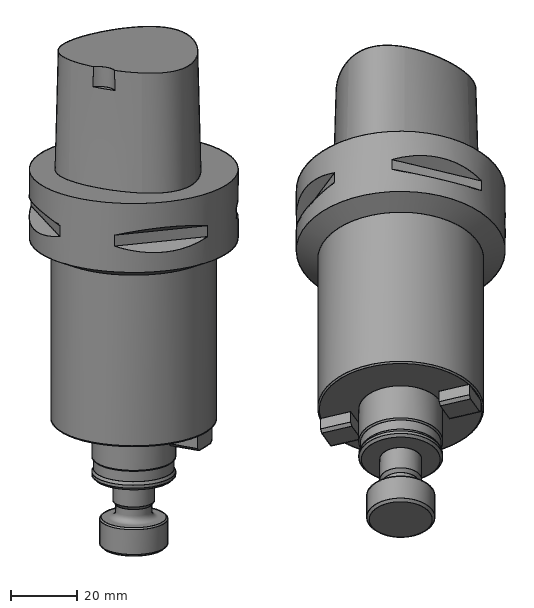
import cadquery as cq
import math

total_length = 158.2

shank_height = 38.0
shank_mean_radius = 22.0
lobe_eccentricity = 1.7
taper_ratio = 1 / 20
lobe_count = 3
curve_intervals = 12
notch_radius = 5.2
notch_floor_offset = 17.7
notch_height = 6.3

flange_diameter = 63.0
flange_bottom = -22.0
body_diameter = 50.0
body_top = -25.2
body_bottom = -80.0
body_chamfer = 0.5

slot_count = 4
slot_floor_offset = 27.8
slot_floor_height = 3.5
slot_mouth_height = 7.9
slot_center = -12.0

key_inner_x = 14.4
key_outer_x = 24.2
key_width = 9.3
key_height = 4.7
key_chamfer = 1.0

pilot_diameter = 25.3
groove_diameter = 24.4
groove_top = -91.8
groove_bottom = -96.5
groove_bevel = 0.5
groove_bottom_bevel = 1.0
pilot_bottom = -98.2
pilot_chamfer = 0.8

screw_diameter = 12.7
screw_bottom = -105.7
neck_diameter = 10.9
neck_top = -106.8
head_diameter = 20.5
head_top = -111.0
head_bottom = shank_height - total_length
head_top_chamfer = 0.5
head_bottom_chamfer = 0.8
neck_fillet = 2.0


def lobed_wire(height):
    """Three-lobed outline at one height, with a lobe toward +Y, in equal curved spans."""
    radius = shank_mean_radius - taper_ratio / 2 * height
    span_count = 2 * lobe_count
    span = 2 * math.pi / span_count

    def span_curve(start):
        def point(t):
            angle = start + t * span
            x = radius * math.cos(angle) - lobe_eccentricity * math.sin(2 * angle)
            y = radius * math.sin(angle) - lobe_eccentricity * math.cos(2 * angle)
            return x, y, height

        return cq.Workplane("XY").parametricCurve(point, N=curve_intervals, makeWire=False).val()

    return cq.Wire.assembleEdges([span_curve(i * span) for i in range(span_count)])


def make_shank():
    wires = [lobed_wire(0), lobed_wire(shank_height)]
    shank = cq.Workplane(cq.Solid.makeLoft(wires, True))
    notch = (
        cq.Workplane("XY", origin=(0, 0, shank_height - notch_height))
        .center(0, -notch_floor_offset - notch_radius)
        .circle(notch_radius)
        .extrude(notch_height)
    )
    return shank.cut(notch)


def make_turned_body():
    """Flange, body, pilot and screw as one revolved half profile (radius, Z)."""
    flange_radius = flange_diameter / 2
    body_radius = body_diameter / 2
    pilot_radius = pilot_diameter / 2
    groove_radius = groove_diameter / 2
    screw_radius = screw_diameter / 2
    neck_radius = neck_diameter / 2
    head_radius = head_diameter / 2
    fillet_run = neck_fillet * math.sqrt(0.5)
    profile = (
        cq.Workplane("XZ")
        .lineTo(flange_radius, 0)
        .lineTo(flange_radius, flange_bottom)
        .lineTo(body_radius, body_top)
        .lineTo(body_radius, body_bottom + body_chamfer)
        .lineTo(body_radius - body_chamfer, body_bottom)
        .lineTo(pilot_radius, body_bottom)
        .lineTo(pilot_radius, groove_top)
        .lineTo(groove_radius, groove_top - groove_bevel)
        .lineTo(groove_radius, groove_bottom + groove_bottom_bevel)
        .lineTo(pilot_radius, groove_bottom)
        .lineTo(pilot_radius, pilot_bottom + pilot_chamfer)
        .lineTo(pilot_radius - pilot_chamfer, pilot_bottom)
        .lineTo(screw_radius, pilot_bottom)
        .lineTo(screw_radius, screw_bottom)
        .lineTo(neck_radius, neck_top)
        .lineTo(neck_radius, head_top + neck_fillet)
        .threePointArc(
            (neck_radius + neck_fillet - fillet_run, head_top + neck_fillet - fillet_run),
            (neck_radius + neck_fillet, head_top),
        )
        .lineTo(head_radius - head_top_chamfer, head_top)
        .lineTo(head_radius, head_top - head_top_chamfer)
        .lineTo(head_radius, head_bottom + head_bottom_chamfer)
        .lineTo(head_radius - head_bottom_chamfer, head_bottom)
        .lineTo(0, head_bottom)
        .close()
    )
    return profile.revolve(360, (0, 0, 0), (0, 1, 0))


def make_gripper_slot(angle):
    """Straight trapezoidal groove that widens outward to the flange rim."""
    rim = flange_diameter / 2
    floor_half = slot_floor_height / 2
    mouth_half = slot_mouth_height / 2
    cutter = (
        cq.Workplane("XZ")
        .polyline([
            (slot_floor_offset, slot_center + floor_half),
            (rim, slot_center + mouth_half),
            (rim, slot_center - mouth_half),
            (slot_floor_offset, slot_center - floor_half),
        ])
        .close()
        .extrude(rim, both=True)
    )
    return cutter.rotate((0, 0, 0), (0, 0, 1), angle)


def make_key(side):
    length = key_outer_x - key_inner_x
    middle = side * (key_inner_x + key_outer_x) / 2
    return (
        cq.Workplane("XY", origin=(middle, 0, body_bottom))
        .rect(length, key_width)
        .extrude(-key_height)
        .faces("<Z")
        .edges("|X")
        .chamfer(key_chamfer)
    )


body = make_turned_body()
slot_step = 360 / slot_count
for index in range(slot_count):
    body = body.cut(make_gripper_slot((index + 0.5) * slot_step))

for side in (-1, 1):
    body = body.union(make_key(side))

result = body.union(make_shank())